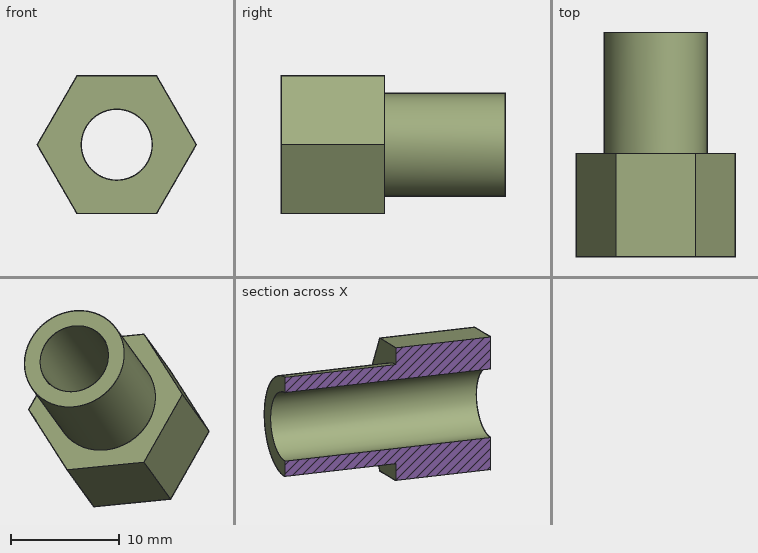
import cadquery as cq

across_corners = 14.635
head_length = 9.52
total_length = 20.62
shank_diameter = 9.5
bore_diameter = 6.5

shank_length = total_length - head_length


def along_y(start_y):
    """Workplane at start_y whose normal points along +Y."""
    plane = cq.Plane(origin=(0, start_y, 0), xDir=(1, 0, 0), normal=(0, 1, 0))
    return cq.Workplane(plane)


def hex_head():
    """Hexagonal head with its corners on the X axis and flats facing +Z and -Z."""
    return along_y(0).polygon(6, across_corners).extrude(head_length)


def shank():
    """Round shank behind the head."""
    return along_y(head_length).circle(shank_diameter / 2).extrude(shank_length)


def bore():
    """Straight bore through the full length."""
    return along_y(0).circle(bore_diameter / 2).extrude(total_length)


result = hex_head().union(shank()).cut(bore())